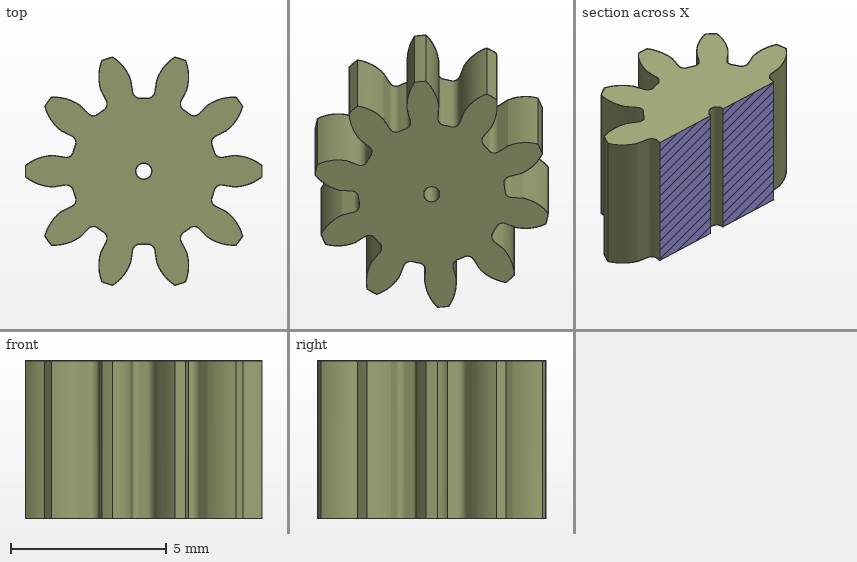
import cadquery as cq
import math

tooth_count = 10
face_width = 5.08
bore_diameter = 0.51
tip_radius = 3.81
root_radius = 2.355
root_fillet = 0.23

tip_half_thickness = 0.18
crown_x, crown_half_thickness = 3.39, 0.42
shoulder_x, shoulder_half_thickness = 2.91, 0.51
flank_base_x, flank_base_half_thickness = 2.21, 0.4


def make_tooth():
    """Tooth with convex tip faces and straight flanks narrowing to the root."""
    tip_x = math.sqrt(tip_radius**2 - tip_half_thickness**2)
    return (
        cq.Workplane("XY")
        .moveTo(flank_base_x, -flank_base_half_thickness)
        .lineTo(shoulder_x, -shoulder_half_thickness)
        .threePointArc((crown_x, -crown_half_thickness), (tip_x, -tip_half_thickness))
        .threePointArc((tip_radius, 0), (tip_x, tip_half_thickness))
        .threePointArc((crown_x, crown_half_thickness), (shoulder_x, shoulder_half_thickness))
        .lineTo(flank_base_x, flank_base_half_thickness)
        .close()
        .extrude(face_width)
    )


pinion = cq.Workplane("XY").circle(root_radius).extrude(face_width)
tooth = make_tooth()
for index in range(tooth_count):
    angle = index * 360 / tooth_count
    pinion = pinion.union(tooth.rotate((0, 0, 0), (0, 0, 1), angle))

halfway_up_flank = (root_radius + shoulder_x) / 2
root_corners = pinion.edges("|Z").filter(
    lambda edge: math.hypot(edge.Center().x, edge.Center().y) < halfway_up_flank
)
pinion = pinion.newObject(root_corners.vals()).fillet(root_fillet)

result = pinion.faces(">Z").workplane(origin=(0, 0, face_width)).hole(bore_diameter)